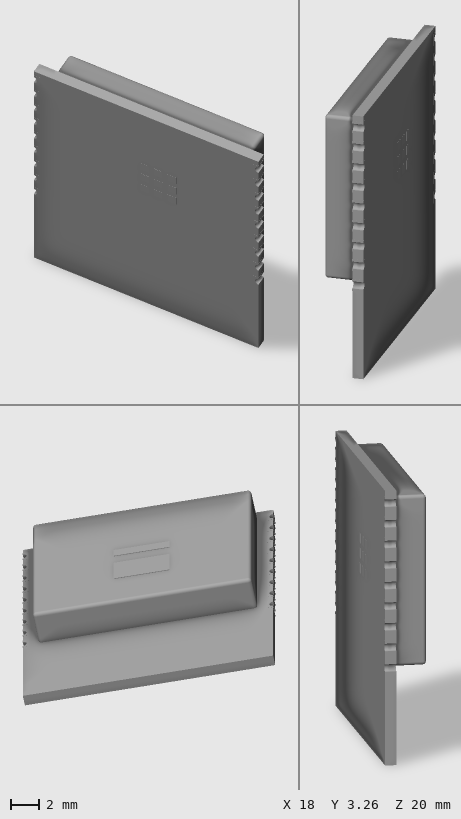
import cadquery as cq


BOARD_WIDTH = 18.0
BOARD_HEIGHT = 20.0
BOARD_THICKNESS = 0.8
BOARD_TOP = BOARD_HEIGHT / 2

PLATING = 0.01

EDGE_PAD_COUNT = 9
EDGE_PAD_PITCH = 1.5
EDGE_PAD_DEPTH = 0.45
EDGE_PAD_HEIGHT = 0.9
HALF_HOLE_RADIUS = 0.275
FIRST_PAD_DROP = 0.9

THERMAL_COUNT = 3
THERMAL_PITCH = 1.1
THERMAL_SIZE = 0.7
THERMAL_X = 0.96
THERMAL_DROP = 6.7

CAN_WIDTH = 15.7
CAN_HEIGHT = 12.4
CAN_DEPTH = 2.4
CAN_DROP = 0.7
CAN_FILLET = 0.25

BAND_THICKNESS = 0.05
BAND_WIDTH = 4.0
UPPER_BAND_DROP = 6.15
UPPER_BAND_HEIGHT = 0.8
LOWER_BAND_DROP = 7.9
LOWER_BAND_HEIGHT = 2.15


def box_from(x, y, z, width, depth, height):
    """Box centred at x and z, running from y toward +Y by depth."""
    box = cq.Workplane("XY").box(width, depth, height, centered=(True, False, True))
    return box.translate((x, y, z))


def edge_pad_positions():
    """Side (-1 for -X, +1 for +X) and centre Z of every edge pad."""
    return [
        (side, BOARD_TOP - FIRST_PAD_DROP - index * EDGE_PAD_PITCH)
        for side in (-1, 1)
        for index in range(EDGE_PAD_COUNT)
    ]


def make_board():
    return box_from(0, 0, 0, BOARD_WIDTH, BOARD_THICKNESS, BOARD_HEIGHT)


def add_edge_pads(body):
    """Wrap plating around the front, edge and back of the board, then bore the half-holes."""
    pad_width = EDGE_PAD_DEPTH + PLATING
    pad_thickness = BOARD_THICKNESS + 2 * PLATING
    outer_edge = BOARD_WIDTH / 2 + PLATING
    for side, z in edge_pad_positions():
        x = side * (outer_edge - pad_width / 2)
        body = body.union(box_from(x, -PLATING, z, pad_width, pad_thickness, EDGE_PAD_HEIGHT))
    hole_centres = [(side * outer_edge, z) for side, z in edge_pad_positions()]
    holes = (
        cq.Workplane("XZ", origin=(0, -PLATING, 0))
        .pushPoints(hole_centres)
        .circle(HALF_HOLE_RADIUS)
        .extrude(-pad_thickness)
    )
    return body.cut(holes)


def add_thermal_pads(body):
    grid_z = BOARD_TOP - THERMAL_DROP
    middle = (THERMAL_COUNT - 1) / 2
    for row in range(THERMAL_COUNT):
        for column in range(THERMAL_COUNT):
            x = THERMAL_X + (column - middle) * THERMAL_PITCH
            z = grid_z + (row - middle) * THERMAL_PITCH
            body = body.union(box_from(x, -PLATING, z, THERMAL_SIZE, 2 * PLATING, THERMAL_SIZE))
    return body


def add_shield_can(body):
    can_z = BOARD_TOP - CAN_DROP - CAN_HEIGHT / 2
    can = box_from(0, BOARD_THICKNESS, can_z, CAN_WIDTH, CAN_DEPTH, CAN_HEIGHT)
    can = can.edges("|Y or >Y").fillet(CAN_FILLET)
    return body.union(can)


def add_bands(body):
    can_back = BOARD_THICKNESS + CAN_DEPTH
    for drop, height in (
        (UPPER_BAND_DROP, UPPER_BAND_HEIGHT),
        (LOWER_BAND_DROP, LOWER_BAND_HEIGHT),
    ):
        z = BOARD_TOP - drop - height / 2
        body = body.union(box_from(0, can_back, z, BAND_WIDTH, BAND_THICKNESS, height))
    return body


result = make_board()
result = add_edge_pads(result)
result = add_thermal_pads(result)
result = add_shield_can(result)
result = add_bands(result)